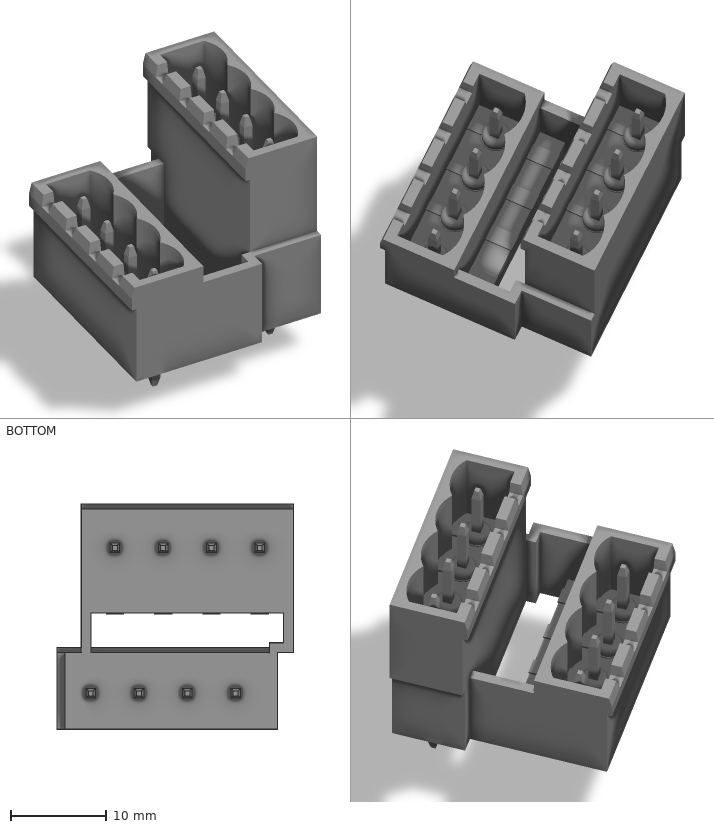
import cadquery as cq
import math


OVERALL_HEIGHT = 25.9
BASE_Z = 3.88
PIN_COUNT = 4
PITCH = 5.08
LOWER_TIER_X = PITCH / 2
LOWER_TIER_Y = -15.1
LOWER_TIER_TOP = 15.93
PIN_ROW_SPACING = 15.28

TIER_WIDTH = 22.33
WALL_FACE = 8.05
LIP_FACE = 8.6
LIP_HEIGHT = 2.8
LIP_BEVEL_HEIGHT = 1.3
LIP_BEVEL_DEPTH = 0.34

CAVITY_DEPTH = 8.68
CAVITY_WIDTH = PIN_COUNT * PITCH
CAVITY_SIDE_WALL = (TIER_WIDTH - CAVITY_WIDTH) / 2
CAVITY_ARC_TOP = 0.93
CAVITY_CUSP = 1.81
CAVITY_FRONT = 7.1

NOTCH_TOP_WIDTH = 1.97
NOTCH_FLOOR_WIDTH = 1.4

COLLAR_DIAMETER = 3.0
COLLAR_HEIGHT = 1.04
COLLAR_ROUND = 0.52
FLANGE_WIDTH = 0.1
FLANGE_HEIGHT = 0.13
RIB_HEIGHT = 0.25
REAR_RIB_WIDTH = 1.81

BASE_TOP = 13.88
BASE_SHIFT = 0.85
SIDE_WALL = 1.05
SHELF_LENGTH = 2.9
RIB_OVERHANG = 0.1

PIN_WIDTH = 1.0
PIN_TIP_WIDTH = 0.52
PIN_TIP_LENGTH = 1.1
PIN_TOP_DEPTH = 1.25
PIN_ROW = 3.78
FIRST_PIN = CAVITY_SIDE_WALL + PITCH / 2


def block(x0, x1, y0, y1, z0, z1):
    """Box between opposite corners."""
    return cq.Workplane("XY").box(x1 - x0, y1 - y0, z1 - z0, centered=False).translate((x0, y0, z0))


def pin_xs(tier_x):
    return [tier_x + FIRST_PIN + i * PITCH for i in range(PIN_COUNT)]


def tier_body(x, y, base_z, top):
    """Solid tier with a bevelled lip along the top of its front."""
    lip_front = y - LIP_FACE
    return (
        cq.Workplane("YZ")
        .moveTo(y, base_z)
        .lineTo(y, top)
        .lineTo(lip_front + LIP_BEVEL_DEPTH, top)
        .lineTo(lip_front, top - LIP_BEVEL_HEIGHT)
        .lineTo(lip_front, top - LIP_HEIGHT)
        .lineTo(y - WALL_FACE, top - LIP_HEIGHT)
        .lineTo(y - WALL_FACE, base_z)
        .close()
        .extrude(TIER_WIDTH)
        .translate((x, 0, 0))
    )


def cavity(x, y, top):
    """Socket space with one scallop behind each pin."""
    left = x + CAVITY_SIDE_WALL
    outline = cq.Workplane("XY").moveTo(left, y - CAVITY_FRONT).lineTo(left, y - CAVITY_CUSP)
    for pin_x in pin_xs(x):
        outline = outline.threePointArc((pin_x, y - CAVITY_ARC_TOP), (pin_x + PITCH / 2, y - CAVITY_CUSP))
    outline = outline.lineTo(left + CAVITY_WIDTH, y - CAVITY_FRONT).close()
    return outline.extrude(CAVITY_DEPTH).translate((0, 0, top - CAVITY_DEPTH))


def notch(pin_x, y, top):
    """Tapered notch through the front wall, as deep as the lip bevel."""
    return (
        cq.Workplane("XZ", origin=(pin_x, y - CAVITY_FRONT, top))
        .moveTo(-NOTCH_TOP_WIDTH / 2, 0)
        .lineTo(NOTCH_TOP_WIDTH / 2, 0)
        .lineTo(NOTCH_FLOOR_WIDTH / 2, -LIP_BEVEL_HEIGHT)
        .lineTo(-NOTCH_FLOOR_WIDTH / 2, -LIP_BEVEL_HEIGHT)
        .close()
        .extrude(LIP_FACE - CAVITY_FRONT)
    )


def floor_details(pin_x, pin_y, rib_rear, cavity_front, floor_z):
    """Rounded, flanged collar at a pin, with a wide rib behind it and a narrow rib in front."""
    rib_top = floor_z + RIB_HEIGHT
    collar = (
        cq.Workplane("XY", origin=(pin_x, pin_y, floor_z))
        .circle(COLLAR_DIAMETER / 2)
        .extrude(COLLAR_HEIGHT)
        .faces(">Z")
        .edges()
        .fillet(COLLAR_ROUND)
    )
    flange = (
        cq.Workplane("XY", origin=(pin_x, pin_y, floor_z))
        .circle(COLLAR_DIAMETER / 2 + FLANGE_WIDTH)
        .extrude(FLANGE_HEIGHT)
    )
    half_rear = REAR_RIB_WIDTH / 2
    half_front = PIN_WIDTH / 2
    rear_rib = block(pin_x - half_rear, pin_x + half_rear, pin_y, rib_rear, floor_z, rib_top)
    front_rib = block(pin_x - half_front, pin_x + half_front, cavity_front, pin_y, floor_z, rib_top)
    return collar.union(flange).union(rear_rib).union(front_rib)


def tier(x, y, base_z, top, pin_y, rib_rear):
    """Complete tier: body, cavity, notches and floor details."""
    body = tier_body(x, y, base_z, top).cut(cavity(x, y, top))
    for pin_x in pin_xs(x):
        body = body.cut(notch(pin_x, y, top))
        body = body.union(
            floor_details(pin_x, pin_y, rib_rear, y - CAVITY_FRONT, top - CAVITY_DEPTH)
        )
    return body


def base():
    """Block under the upper tier, side walls joining the tiers, and the rear shelf."""
    left = LOWER_TIER_X
    right = LOWER_TIER_X + TIER_WIDTH
    rear_block = block(BASE_SHIFT, BASE_SHIFT + TIER_WIDTH, -WALL_FACE, 0, BASE_Z, BASE_TOP)
    left_wall = block(left, left + SIDE_WALL, LOWER_TIER_Y, -WALL_FACE, BASE_Z, BASE_TOP)
    right_wall = block(right - SIDE_WALL, right, LOWER_TIER_Y, -WALL_FACE, BASE_Z, BASE_TOP)
    web = block(TIER_WIDTH, right, -WALL_FACE - SIDE_WALL, -WALL_FACE, BASE_Z, BASE_TOP)
    shelf_rear = LOWER_TIER_Y + SHELF_LENGTH
    shelf = block(left, right, LOWER_TIER_Y, shelf_rear, BASE_Z, LOWER_TIER_TOP - CAVITY_DEPTH)
    return rear_block.union(left_wall).union(right_wall).union(web).union(shelf)


def pin(x, y, top):
    """Square pin with a tapered tip at each end."""
    shaft = block(
        x - PIN_WIDTH / 2, x + PIN_WIDTH / 2, y - PIN_WIDTH / 2, y + PIN_WIDTH / 2,
        PIN_TIP_LENGTH, top - PIN_TIP_LENGTH,
    )
    taper = math.degrees(math.atan((PIN_WIDTH - PIN_TIP_WIDTH) / 2 / PIN_TIP_LENGTH))
    upper_tip = shaft.faces(">Z").wires().toPending().workplane().extrude(
        PIN_TIP_LENGTH, taper=taper, combine=False
    )
    lower_tip = shaft.faces("<Z").wires().toPending().workplane().extrude(
        PIN_TIP_LENGTH, taper=taper, combine=False
    )
    return shaft.union(upper_tip).union(lower_tip)


LOWER_PIN_Y = -PIN_ROW - PIN_ROW_SPACING
pins = [pin(x, -PIN_ROW, OVERALL_HEIGHT - PIN_TOP_DEPTH) for x in pin_xs(0)]
pins += [pin(x, LOWER_PIN_Y, LOWER_TIER_TOP - PIN_TOP_DEPTH) for x in pin_xs(LOWER_TIER_X)]

upper_tier = tier(0, 0, BASE_TOP, OVERALL_HEIGHT, -PIN_ROW, -CAVITY_ARC_TOP)
lower_rib_rear = LOWER_TIER_Y + SHELF_LENGTH + RIB_OVERHANG
lower_tier = tier(LOWER_TIER_X, LOWER_TIER_Y, BASE_Z, LOWER_TIER_TOP, LOWER_PIN_Y, lower_rib_rear)
housing = base().union(upper_tier).union(lower_tier)
for one_pin in pins:
    housing = housing.cut(one_pin)

result = cq.Compound.makeCompound([housing.val(), *[one_pin.val() for one_pin in pins]])